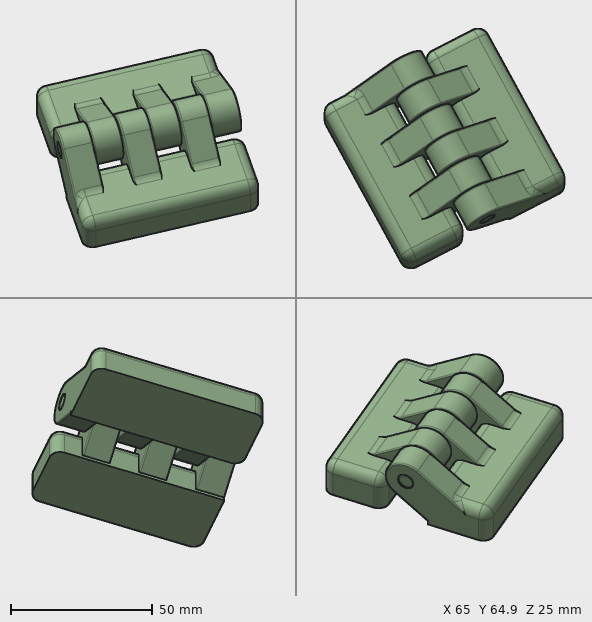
import cadquery as cq
import math

HINGE_LENGTH = 65.0
HINGE_WIDTH = 64.9

LEAF_HEIGHT = 14.0
LEAF_ROUND = 4.0
LEAF_INNER_X = 8.4
LEAF_OUTER_X = HINGE_LENGTH / 2
LEAF_END_Y = HINGE_WIDTH / 2

AXIS_Z = 17.0
KNUCKLE_RADIUS = 8.0
KNUCKLE_ROUND = 0.5
KNUCKLE_WIDTH = 10.5
KNUCKLE_GAP = 0.5
ARM_ANGLE = math.radians(34.5)
ARM_BLEND_RADIUS = 5.0
END_KNUCKLE_INNER_Y = -(2 * KNUCKLE_WIDTH + KNUCKLE_GAP)
MIDDLE_KNUCKLE_STARTS = (-KNUCKLE_WIDTH, KNUCKLE_WIDTH + KNUCKLE_GAP)
END_KNUCKLE_SPLIT_Y = (END_KNUCKLE_INNER_Y - LEAF_END_Y) / 2

PIN_DIAMETER = 6.0
PIN_END_DIAMETER = 4.92
PIN_END_ROUND = (PIN_DIAMETER - PIN_END_DIAMETER) / 2

SIN_ARM = math.sin(ARM_ANGLE)
COS_ARM = math.cos(ARM_ANGLE)


def arm_top_x(z):
    """X where the sloping top of an arm reaches height z."""
    return (KNUCKLE_RADIUS - (z - AXIS_Z) * COS_ARM) / SIN_ARM


def arm_bottom_z(x):
    """Height of the sloping underside of an arm at x."""
    return AXIS_Z - (KNUCKLE_RADIUS + x * SIN_ARM) / COS_ARM


def knuckle_outline():
    """Open outline from the foot, up the underside and round the barrel to the top of the arm."""
    tangent_x = KNUCKLE_RADIUS * SIN_ARM
    tangent_z = KNUCKLE_RADIUS * COS_ARM
    barrel_middle = (-KNUCKLE_RADIUS * COS_ARM, AXIS_Z + KNUCKLE_RADIUS * SIN_ARM)
    return (
        cq.Workplane("XZ")
        .moveTo(LEAF_INNER_X, 0)
        .lineTo(LEAF_INNER_X, arm_bottom_z(LEAF_INNER_X))
        .lineTo(-tangent_x, AXIS_Z - tangent_z)
        .threePointArc(barrel_middle, (tangent_x, AXIS_Z + tangent_z))
    )


def blended_knuckle(start_y, end_y, rounded_ends):
    """Knuckle whose arm curves smoothly into the leaf top, rounded at the chosen end faces."""
    corner_x = arm_top_x(LEAF_HEIGHT)
    setback = ARM_BLEND_RADIUS * math.tan(ARM_ANGLE / 2)
    blend_start = (corner_x - setback * COS_ARM, LEAF_HEIGHT + setback * SIN_ARM)
    blend_end_x = corner_x + setback
    blend_middle = (
        blend_end_x - ARM_BLEND_RADIUS * math.sin(ARM_ANGLE / 2),
        LEAF_HEIGHT + ARM_BLEND_RADIUS * (1 - math.cos(ARM_ANGLE / 2)),
    )
    outline = (
        knuckle_outline()
        .lineTo(*blend_start)
        .threePointArc(blend_middle, (blend_end_x, LEAF_HEIGHT))
        .lineTo(blend_end_x, 0)
        .close()
    )
    body = outline.extrude(end_y - start_y).translate((0, end_y, 0))
    return body.faces(rounded_ends).edges("not(<Z or >X)").fillet(KNUCKLE_ROUND)


def plain_knuckle(start_y, end_y):
    """Knuckle whose arm runs straight down to the foot of the leaf's top rounding."""
    arm_end_z = LEAF_HEIGHT - LEAF_ROUND
    arm_end_x = arm_top_x(arm_end_z)
    outline = knuckle_outline().lineTo(arm_end_x, arm_end_z).lineTo(arm_end_x, 0).close()
    body = outline.extrude(end_y - start_y).translate((0, end_y, 0))
    return body.faces("<Y").edges("not(<Z or >X)").fillet(KNUCKLE_ROUND)


def leaf_plate():
    return (
        cq.Workplane("XY")
        .box(LEAF_OUTER_X - LEAF_INNER_X, HINGE_WIDTH, LEAF_HEIGHT, centered=False)
        .translate((LEAF_INNER_X, -LEAF_END_Y, 0))
        .edges("|Z or >Z")
        .fillet(LEAF_ROUND)
    )


def leaf():
    """The +X leaf with its end knuckle at -Y."""
    body = leaf_plate().union(plain_knuckle(-LEAF_END_Y, END_KNUCKLE_SPLIT_Y))
    crease_y = (END_KNUCKLE_SPLIT_Y - LEAF_END_Y + LEAF_ROUND) / 2
    crease = cq.selectors.NearestToPointSelector((arm_top_x(LEAF_HEIGHT), crease_y, LEAF_HEIGHT))
    body = body.edges(crease).fillet(ARM_BLEND_RADIUS)
    body = body.union(blended_knuckle(END_KNUCKLE_SPLIT_Y, END_KNUCKLE_INNER_Y, ">Y"))
    for start_y in MIDDLE_KNUCKLE_STARTS:
        body = body.union(blended_knuckle(start_y, start_y + KNUCKLE_WIDTH, "<Y or >Y"))
    return body


def pin_blank(length):
    return cq.Workplane("XZ").center(0, AXIS_Z).circle(PIN_DIAMETER / 2).extrude(length / 2, both=True)


def pin():
    return pin_blank(HINGE_WIDTH).faces("<Y or >Y").edges().fillet(PIN_END_ROUND)


right_leaf = leaf()
left_leaf = right_leaf.rotate((0, 0, 0), (0, 0, 1), 180)
pin_bore = pin_blank(HINGE_WIDTH)
result = right_leaf.union(left_leaf).cut(pin_bore).union(pin())